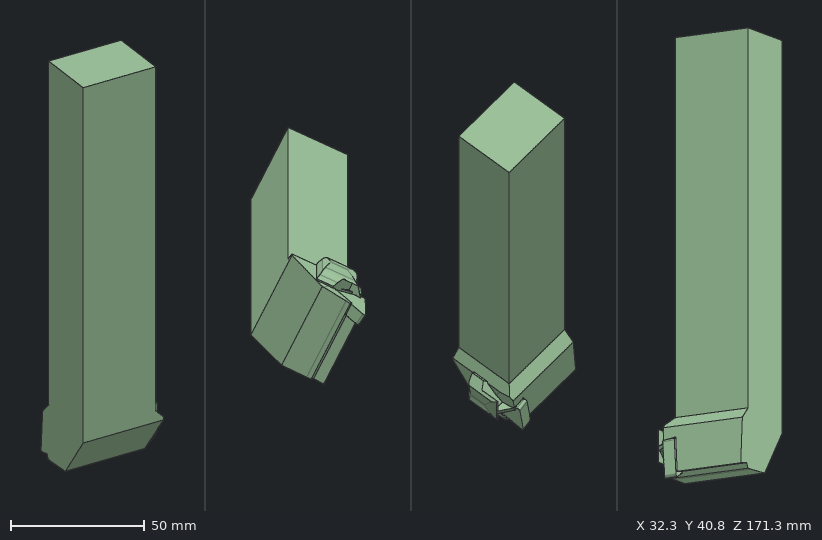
import cadquery as cq
import math

total_length = 171.4
shank_width = 25.0
shank_depth = 32.0

flare_start = 24.8
flare_end = 20.4
head_left = -4.3
head_left_low = -5.5
head_bottom = 2.0
heel_x = 12.2
heel_top = 20.0
step_bottom = 1.5
step_left = -0.2
step_right = 1.7
relief_x = -1.2
relief_z = 3.5
corner_z = 2.5
head_depth = 35.5
head_back_depth_low = 35.0

insert_edge = 16.5
insert_thickness = 4.8
insert_angle = 60.0
lead_angle = 3.5
tip_radius = 0.9
pocket_clearance = 0.9
tip = cq.Vector(-7.4, 32.2, -0.5)
insert_normal = cq.Vector(-0.11, 1.0, -0.08)
rake_height = 17.1
rake_rise = 0.5

clamp_left = -4.8
clamp_right = 14.7
clamp_base = 33.0
clamp_peak = 40.8
clamp_rim = 39.0
clamp_shoulder = 9.5
clamp_nose = 0.9
clamp_nose_top = 14.5
clamp_nose_bottom = 12.9


def insert_plane():
    """Plane of the insert's outer face, with its local Y along the long cutting edge."""
    edge_direction = cq.Vector(
        math.sin(math.radians(lead_angle)), 0, math.cos(math.radians(lead_angle))
    )
    across = edge_direction.cross(insert_normal) * -1
    return cq.Plane(origin=tip, xDir=across, normal=insert_normal)


def triangle_prism(edge, depth):
    """Equilateral triangle with one corner at the tip, extruded along the face normal."""
    angle = math.radians(insert_angle)
    outline = [(0, 0), (0, -edge), (edge * math.sin(angle), -edge * math.cos(angle))]
    return cq.Workplane(insert_plane()).polyline(outline).close().extrude(depth)


def make_insert():
    corners = cq.selectors.ParallelDirSelector(insert_normal)
    return triangle_prism(insert_edge, -insert_thickness).edges(corners).fillet(tip_radius)


def cut_pocket(body):
    """Seat for the insert, open at the back, with clearance along its upper side."""
    pocket_edge = insert_edge + pocket_clearance
    seat = triangle_prism(pocket_edge, -insert_thickness)
    opening = triangle_prism(pocket_edge, rake_rise)
    return body.cut(seat).cut(opening)


def make_shank_and_head():
    """Shank and cranked head, limited at the back by a flared profile."""
    front_outline = [
        (0, total_length),
        (0, flare_start),
        (head_left, flare_end),
        (head_left_low, corner_z),
        (relief_x, relief_z),
        (step_left, step_bottom),
        (step_right, step_bottom),
        (heel_x, head_bottom),
        (shank_width, heel_top),
        (shank_width, total_length),
    ]
    body = cq.Workplane("XZ").polyline(front_outline).close().extrude(-head_depth)
    flare_height = head_depth - shank_depth
    side_outline = [
        (0, 0),
        (head_back_depth_low, 0),
        (head_depth, flare_start - flare_height),
        (shank_depth, flare_start),
        (shank_depth, total_length),
        (0, total_length),
    ]
    side = (
        cq.Workplane("YZ").workplane(offset=head_left_low)
        .polyline(side_outline).close().extrude(shank_width - head_left_low)
    )
    return body.intersect(side)


def cut_rake_face(body):
    """Trim the head parallel to the insert's outer face, slightly above it."""
    rake_size = 4 * shank_width
    rake_space = (
        cq.Workplane(insert_plane()).workplane(offset=rake_rise)
        .rect(rake_size, rake_size).extrude(rake_height)
    )
    head_zone = cq.Workplane().box(rake_size, rake_size, 2 * flare_start)
    return body.cut(rake_space.intersect(head_zone))


def clamp_bevels():
    """45 degree cuts above and below the nose, stopping short of the domed rim."""
    run = clamp_shoulder - clamp_nose
    bevels = cq.Workplane("XZ")
    for nose_z, shoulder_z in (
        (clamp_nose_top, clamp_nose_top + run),
        (clamp_nose_bottom, clamp_nose_bottom - run),
    ):
        outline = [
            (clamp_left, nose_z),
            (clamp_nose, nose_z),
            (clamp_shoulder, shoulder_z),
            (clamp_left, shoulder_z),
        ]
        bevels = bevels.polyline(outline).close()
    return bevels.extrude(-clamp_rim)


def make_clamp():
    """Domed clamp: the common volume of its two rounded profiles."""
    top_profile = (
        cq.Workplane("XY").moveTo(clamp_left, clamp_base)
        .lineTo(-0.2, 39.4)
        .threePointArc((2.2, 40.5), (5.0, clamp_peak))
        .lineTo(11.5, clamp_peak)
        .threePointArc((13.0, 40.1), (13.9, 38.7))
        .lineTo(clamp_right, 35.8)
        .lineTo(clamp_right, clamp_base)
        .close().extrude(flare_start)
    )
    side_profile = (
        cq.Workplane("YZ").workplane(offset=clamp_left)
        .moveTo(clamp_base, 20.2)
        .lineTo(35.0, 21.6)
        .lineTo(36.3, 22.8)
        .lineTo(40.3, 20.4)
        .threePointArc((40.8, 16.1), (40.0, 10.0))
        .threePointArc((38.7, 7.9), (37.4, 6.9))
        .lineTo(35.6, 5.8)
        .lineTo(clamp_base, 5.8)
        .close().extrude(clamp_right - clamp_left)
    )
    return top_profile.intersect(side_profile).cut(clamp_bevels())


insert = make_insert()
holder = cut_pocket(cut_rake_face(make_shank_and_head())).union(make_clamp()).cut(insert)

result = cq.Compound.makeCompound([holder.solids().val(), insert.solids().val()])